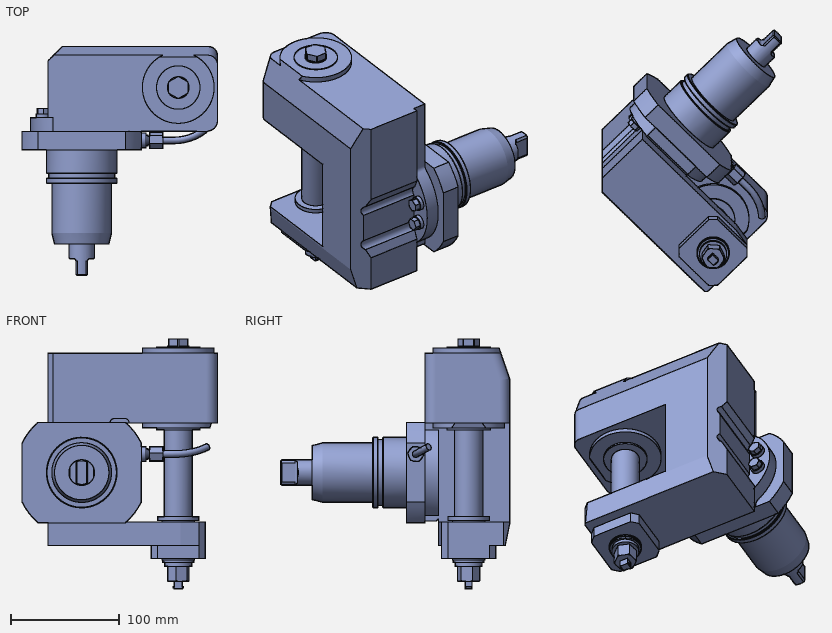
import cadquery as cq
import math


FLANGE_WIDTH = 110.0
FLANGE_HEIGHT = 92.5
FLANGE_CORNER_DIA = 122.5
FLANGE_BACK_Y = 17.0

SHANK_DIA = 65.0
SHANK_GROOVE_DIA = 61.0
SHANK_FRONT_DIA = 55.0
SHANK_NOSE_DIA = 50.0
GROOVE_START_Y = -21.8
GROOVE_END_Y = -25.9
COLLAR_END_Y = -30.9
SHANK_EDGE_CHAMFER = 0.6
NOSE_CONE_START_Y = -76.9
SHANK_END_Y = -86.7
DRIVE_DIA = 23.7
TANG_START_Y = -100.2
TANG_END_Y = -115.5
TANG_THICKNESS = 10.8
TANG_ROOT_FILLET = 2.0
TANG_FLAT_HALF_HEIGHT = 8.9
TANG_BEVEL_HALF_THICKNESS = 4.0
TANG_BEVEL_HALF_HEIGHT = 11.15
DRIVE_CHAMFER = 1.0

BODY_LEFT_X = -31.1
BODY_RIGHT_X = 125.0
BODY_BACK_Y = 95.1
BODY_TOP_Z = 109.8
UPPER_ARM_BOTTOM_Z = 45.4
LOWER_ARM_TOP_Z = -UPPER_ARM_BOTTOM_Z
LOWER_ARM_BOTTOM_Z = -67.1
COLUMN_HALF_WIDTH = 26.2
FRONT_CORNER_RADIUS = 10.0
BACK_CORNER_RADIUS = 8.8
BACK_CHAMFER = 13.4
PLATE_BACK_Y = 29.5
PLATE_BOTTOM_Z = -44.6
PLATE_BOTTOM_CHAMFER = 1.9
TOP_SLOPE_START_Z = 86.2
TOP_SLOPE_END_Y = 87.0
BOTTOM_SLOPE_START_Z = -47.4
BOTTOM_SLOPE_END_Y = 91.0

GROOVE_OUTER_Z = 32.2
GROOVE_MOUTH_X = -27.4
GROOVE_MOUTH_Z = 23.8
GROOVE_BOTTOM_X = -24.4
GROOVE_BOTTOM_Z = 18.0
GROOVE_INNER_Z = 14.0

RELIEF_WIDTH = 17.3
RELIEF_TOP_Z = 49.6
RELIEF_RADIUS = 3.5

SWIVEL_RADIUS = 47.2
SWIVEL_FILLET = 5.1
BOLT_X = -35.3
BOLT_Z = 10.5
BOLT_COLLAR_DIA = 13.0
BOLT_COLLAR_END_Y = 33.0
BOLT_HEAD_ACROSS_FLATS = 10.0
BOLT_HEAD_END_Y = 38.0
BOLT_HEAD_TURNS = {BOLT_Z: 90.0, -BOLT_Z: 60.0}

SPINDLE_X = 88.8
SPINDLE_Y = 57.3
SPINDLE_DIA = 26.0
DISC_DIA = 66.0
COVER_DIA = 40.0
COVER_TOP_Z = 115.4
TOP_DISC_TOP_Z = 114.7
TOP_BOLT_DIA = 20.0
TOP_BOLT_COLLAR_Z = 116.5
TOP_BOLT_ACROSS_FLATS = 17.8
TOP_BOLT_TURN = 90.0
TOP_BOLT_TOP_Z = 122.9
LOWER_DISC_BOTTOM_Z = 41.1
LOWER_COVER_BOTTOM_Z = 39.2
LOWER_DISC_FLAT_TOP_X = 119.3
LOWER_DISC_FLAT_BOTTOM_X = 117.9
SPINDLE_COLLAR_DIA = 38.0
SPINDLE_COLLAR_TOP_Z = -40.5
SPINDLE_COLLAR_BOTTOM_Z = -44.3
SEAL_DIA = 30.0

CAP_SIZE = 50.0
CAP_CHAMFER = 5.8
CAP_BOTTOM_Z = -79.1
ARM_TAPER_START_X = 91.2
SEAL_STRAIGHT_BOTTOM_Z = -80.6
SEAL_BOTTOM_Z = -82.6
SEAL_END_DIA = 28.6
NUT_SPACER_DIA = 25.0
NUT_TOP_Z = -86.2
NUT_BOTTOM_Z = -100.1
NUT_CORNER_DIA = 20.9
NUT_TURN = 19.0
NUT_CHAMFER = 0.8
STUB_BOTTOM_Z = -107.0
STUB_LENGTH_X = 7.8
STUB_LENGTH_Y = 6.6
STUB_FOOT_DIA = 9.3
STUB_FOOT_TOP_Z = -105.0
STUB_FOOT_BOTTOM_Z = -106.0

FITTING_Y = 8.6
FITTING_Z = 17.0
FITTING_COLLAR_DIA = 13.8
FITTING_COLLAR_END_X = 59.3
FITTING_NECK_DIA = 9.8
FITTING_NECK_END_X = 60.9
FITTING_STEM_DIA = 8.15
FITTING_HEX_START_X = 62.4
FITTING_HEX_END_X = 74.6
FITTING_HEX_ACROSS_FLATS = 13.0
FITTING_HEX_TURN = 52.0
PIPE_DIA = 6.2
PIPE_BEND_START_X = 84.5
PIPE_BEND_RADIUS = 42.0
PIPE_BEND_ANGLE = 47.6
PIPE_TILT = 29.0


def box(x0, x1, y0, y1, z0, z1):
    """Axis-aligned box between two opposite corners."""
    return cq.Workplane("XY").box(x1 - x0, y1 - y0, z1 - z0, centered=False).translate((x0, y0, z0))


def spindle_cylinder(diameter, z0, z1):
    """Cylinder on the spindle axis."""
    return cq.Workplane("XY", origin=(SPINDLE_X, SPINDLE_Y, z0)).circle(diameter / 2).extrude(z1 - z0)


def spindle_hex(corner_dia, turn, z0, z1):
    """Hexagonal prism on the spindle axis with its first corner turned from +X."""
    prism = cq.Workplane("XY").polygon(6, corner_dia).extrude(z1 - z0)
    return prism.rotate((0, 0, 0), (0, 0, 1), turn).translate((SPINDLE_X, SPINDLE_Y, z0))


def corner_diameter(across_flats):
    """Diameter through the corners of a hexagon."""
    return across_flats / math.cos(math.pi / 6)


def extrude_y(sketch, y0, y1):
    """Extrude an outline drawn on the XZ plane from y0 to y1."""
    return sketch.extrude(-(y1 - y0)).translate((0, y0, 0))


def make_flange():
    block = box(
        -FLANGE_WIDTH / 2, FLANGE_WIDTH / 2, 0, FLANGE_BACK_Y, -FLANGE_HEIGHT / 2, FLANGE_HEIGHT / 2
    )
    rounding = extrude_y(cq.Workplane("XZ").circle(FLANGE_CORNER_DIA / 2), 0, FLANGE_BACK_Y)
    return block.intersect(rounding)


def make_shank():
    full = SHANK_DIA / 2
    groove = SHANK_GROOVE_DIA / 2
    edge = SHANK_EDGE_CHAMFER
    profile = [
        (0, 0),
        (full, 0),
        (full, GROOVE_START_Y + edge),
        (full - edge, GROOVE_START_Y),
        (groove, GROOVE_START_Y),
        (groove, GROOVE_END_Y),
        (full - edge, GROOVE_END_Y),
        (full, GROOVE_END_Y - edge),
        (full, COLLAR_END_Y + edge),
        (full - edge, COLLAR_END_Y),
        (SHANK_FRONT_DIA / 2, COLLAR_END_Y),
        (SHANK_FRONT_DIA / 2, NOSE_CONE_START_Y),
        (SHANK_NOSE_DIA / 2, SHANK_END_Y),
        (0, SHANK_END_Y),
    ]
    return cq.Workplane("XY").polyline(profile).close().revolve(360, (0, 0, 0), (0, 1, 0))


def make_drive_tang():
    radius = DRIVE_DIA / 2
    half = TANG_THICKNESS / 2
    shaft = extrude_y(cq.Workplane("XZ").circle(radius), TANG_END_Y, SHANK_END_Y)
    shaft = shaft.faces("<Y").chamfer(DRIVE_CHAMFER)
    outline = (
        cq.Workplane("XY")
        .moveTo(-radius, SHANK_END_Y)
        .lineTo(-radius, TANG_START_Y + DRIVE_CHAMFER)
        .lineTo(-radius + DRIVE_CHAMFER, TANG_START_Y)
        .lineTo(-half - TANG_ROOT_FILLET, TANG_START_Y)
        .radiusArc((-half, TANG_START_Y - TANG_ROOT_FILLET), TANG_ROOT_FILLET)
        .lineTo(-half, TANG_END_Y + DRIVE_CHAMFER)
        .lineTo(-half + DRIVE_CHAMFER, TANG_END_Y)
        .lineTo(0, TANG_END_Y)
        .lineTo(0, SHANK_END_Y)
        .close()
        .extrude(radius, both=True)
    )
    tang = shaft.intersect(outline.union(outline.mirror("YZ")))
    for turn in (0, 180):
        for side in (1, -1):
            tang = tang.cut(tang_bevel_cutter(side).rotate((0, 0, 0), (0, 1, 0), turn))
    return tang


def tang_bevel_cutter(side):
    """Wedge bevelling one long edge of the tang at +Z; side is +1 or -1 along X."""
    half = side * TANG_THICKNESS / 2
    wedge = [
        (half, TANG_FLAT_HALF_HEIGHT),
        (side * TANG_BEVEL_HALF_THICKNESS, TANG_BEVEL_HALF_HEIGHT),
        (half, DRIVE_DIA / 2),
    ]
    sketch = cq.Workplane("XZ").polyline(wedge).close()
    return extrude_y(sketch, TANG_END_Y, TANG_START_Y - TANG_ROOT_FILLET)


def make_front_plate():
    """Plate behind the flange, with the upper arm's front part and the swivel disc."""
    upper = box(
        -COLUMN_HALF_WIDTH, BODY_RIGHT_X, FLANGE_BACK_Y, PLATE_BACK_Y, UPPER_ARM_BOTTOM_Z, BODY_TOP_Z
    )
    column = box(
        -COLUMN_HALF_WIDTH,
        COLUMN_HALF_WIDTH,
        FLANGE_BACK_Y,
        PLATE_BACK_Y,
        PLATE_BOTTOM_Z,
        UPPER_ARM_BOTTOM_Z,
    )
    column = column.edges("<Z and >Y").chamfer(PLATE_BOTTOM_CHAMFER)
    disc = extrude_y(cq.Workplane("XZ").circle(SWIVEL_RADIUS), FLANGE_BACK_Y, PLATE_BACK_Y)
    disc = disc.intersect(
        box(
            -SWIVEL_RADIUS,
            SWIVEL_RADIUS,
            FLANGE_BACK_Y,
            PLATE_BACK_Y,
            PLATE_BOTTOM_Z + PLATE_BOTTOM_CHAMFER,
            UPPER_ARM_BOTTOM_Z,
        )
    )
    return upper.union(column).union(disc).union(swivel_fillet(1)).union(swivel_fillet(-1))


def swivel_fillet(side):
    """Concave fillet joining the left plate edge to the swivel disc; side is +1 above, -1 below."""
    center_x = -COLUMN_HALF_WIDTH - SWIVEL_FILLET
    reach = SWIVEL_RADIUS + SWIVEL_FILLET
    center_z = math.sqrt(reach**2 - center_x**2)
    on_disc = (center_x * SWIVEL_RADIUS / reach, side * center_z * SWIVEL_RADIUS / reach)
    on_plate = (-COLUMN_HALF_WIDTH, side * center_z)
    inside = (-COLUMN_HALF_WIDTH, on_disc[1])
    sketch = (
        cq.Workplane("XZ")
        .moveTo(*inside)
        .lineTo(*on_disc)
        .radiusArc(on_plate, -side * SWIVEL_FILLET)
        .close()
    )
    return extrude_y(sketch, FLANGE_BACK_Y, PLATE_BACK_Y)


def make_lower_arm():
    cap_right = SPINDLE_X + CAP_SIZE / 2
    cap_front = SPINDLE_Y - CAP_SIZE / 2
    outline = [
        (BODY_LEFT_X, PLATE_BACK_Y),
        (ARM_TAPER_START_X, PLATE_BACK_Y),
        (cap_right - CAP_CHAMFER, cap_front),
        (cap_right, cap_front + CAP_CHAMFER),
        (cap_right, BODY_BACK_Y - CAP_CHAMFER),
        (cap_right - CAP_CHAMFER, BODY_BACK_Y),
        (BODY_LEFT_X, BODY_BACK_Y),
    ]
    arm = cq.Workplane("XY").polyline(outline).close()
    return arm.extrude(LOWER_ARM_TOP_Z - LOWER_ARM_BOTTOM_Z).translate((0, 0, LOWER_ARM_BOTTOM_Z))


def side_groove_cutter():
    """Recess in the left column face: a shallow flat between two round-bottomed grooves."""
    sketch = (
        cq.Workplane("XZ")
        .moveTo(BODY_LEFT_X, GROOVE_OUTER_Z)
        .lineTo(GROOVE_MOUTH_X, GROOVE_MOUTH_Z)
        .threePointArc((GROOVE_BOTTOM_X, GROOVE_BOTTOM_Z), (-COLUMN_HALF_WIDTH, GROOVE_INNER_Z))
        .lineTo(-COLUMN_HALF_WIDTH, -GROOVE_INNER_Z)
        .threePointArc((GROOVE_BOTTOM_X, -GROOVE_BOTTOM_Z), (GROOVE_MOUTH_X, -GROOVE_MOUTH_Z))
        .lineTo(BODY_LEFT_X, -GROOVE_OUTER_Z)
        .close()
    )
    return extrude_y(sketch, PLATE_BACK_Y, BODY_BACK_Y)


def relief_cutter():
    """Round-cornered relief in the plate part of the upper arm, beside the column."""
    relief = box(
        COLUMN_HALF_WIDTH,
        COLUMN_HALF_WIDTH + RELIEF_WIDTH,
        FLANGE_BACK_Y,
        PLATE_BACK_Y,
        UPPER_ARM_BOTTOM_Z,
        RELIEF_TOP_Z,
    )
    return relief.edges("|Y and >Z").fillet(RELIEF_RADIUS)


def back_slope_cutter():
    """Wedge behind the sloped upper back face, extended above the top disc."""
    slope = (BODY_BACK_Y - TOP_SLOPE_END_Y) / (BODY_TOP_Z - TOP_SLOPE_START_Z)
    disc_y = BODY_BACK_Y - slope * (TOP_DISC_TOP_Z - TOP_SLOPE_START_Z)
    wedge = [
        (BODY_BACK_Y, TOP_SLOPE_START_Z),
        (disc_y, TOP_DISC_TOP_Z),
        (BODY_BACK_Y, TOP_DISC_TOP_Z),
    ]
    cutter = cq.Workplane("YZ").polyline(wedge).close().extrude(BODY_RIGHT_X - BODY_LEFT_X)
    return cutter.translate((BODY_LEFT_X, 0, 0))


def bottom_slope_cutter():
    """Wedge behind the sloped back face of the lower arm."""
    wedge = [
        (BODY_BACK_Y, BOTTOM_SLOPE_START_Z),
        (BOTTOM_SLOPE_END_Y, LOWER_ARM_BOTTOM_Z),
        (BODY_BACK_Y, LOWER_ARM_BOTTOM_Z),
    ]
    cutter = cq.Workplane("YZ").polyline(wedge).close().extrude(BODY_RIGHT_X - BODY_LEFT_X)
    return cutter.translate((BODY_LEFT_X, 0, 0))


def back_chamfer_cutter():
    """Vertical corner chamfer at the left back edge of the whole housing."""
    corner = [
        (BODY_LEFT_X, BODY_BACK_Y),
        (BODY_LEFT_X + BACK_CHAMFER, BODY_BACK_Y),
        (BODY_LEFT_X, BODY_BACK_Y - BACK_CHAMFER),
    ]
    cutter = cq.Workplane("XY").polyline(corner).close().extrude(BODY_TOP_Z - LOWER_ARM_BOTTOM_Z)
    return cutter.translate((0, 0, LOWER_ARM_BOTTOM_Z))


def make_housing():
    """C-shaped housing: upper arm, column and lower arm, with the disc on top."""
    upper = box(
        BODY_LEFT_X, BODY_RIGHT_X, PLATE_BACK_Y, BODY_BACK_Y, UPPER_ARM_BOTTOM_Z, BODY_TOP_Z
    )
    column = box(
        BODY_LEFT_X, COLUMN_HALF_WIDTH, PLATE_BACK_Y, BODY_BACK_Y, LOWER_ARM_TOP_Z, UPPER_ARM_BOTTOM_Z
    )
    housing = upper.union(make_front_plate()).cut(back_slope_cutter())
    housing = housing.edges("|Z and >X and <Y").fillet(FRONT_CORNER_RADIUS)
    housing = housing.faces(">X").edges("(not |Y) and (not <Y)").fillet(BACK_CORNER_RADIUS)
    housing = housing.union(column).union(make_lower_arm())
    housing = housing.union(spindle_cylinder(DISC_DIA, BODY_TOP_Z, TOP_DISC_TOP_Z))
    cutters = [
        side_groove_cutter(),
        relief_cutter(),
        back_slope_cutter(),
        bottom_slope_cutter(),
        back_chamfer_cutter(),
    ]
    for cutter in cutters:
        housing = housing.cut(cutter)
    return housing


def make_swivel_bolt(z, turn):
    """Hexagon-headed bolt standing on the back of the swivel disc."""
    collar = extrude_y(cq.Workplane("XZ").circle(BOLT_COLLAR_DIA / 2), PLATE_BACK_Y, BOLT_COLLAR_END_Y)
    hexagon = cq.Workplane("XZ").polygon(6, corner_diameter(BOLT_HEAD_ACROSS_FLATS))
    head = extrude_y(hexagon, BOLT_COLLAR_END_Y, BOLT_HEAD_END_Y)
    head = head.rotate((0, 0, 0), (0, 1, 0), turn)
    return collar.union(head).translate((BOLT_X, 0, z))


def make_top_bolt():
    cover = spindle_cylinder(COVER_DIA, TOP_DISC_TOP_Z, COVER_TOP_Z)
    rounding = spindle_cylinder(TOP_BOLT_DIA, TOP_BOLT_COLLAR_Z, TOP_BOLT_TOP_Z)
    head = spindle_hex(
        corner_diameter(TOP_BOLT_ACROSS_FLATS), TOP_BOLT_TURN, TOP_BOLT_COLLAR_Z, TOP_BOLT_TOP_Z
    )
    collar = spindle_cylinder(TOP_BOLT_DIA, COVER_TOP_Z, TOP_BOLT_COLLAR_Z)
    return cover.union(collar).union(head.intersect(rounding))


def make_lower_disc():
    """Disc under the upper arm with a slanted flat on its +X side."""
    disc = spindle_cylinder(DISC_DIA, LOWER_DISC_BOTTOM_Z, UPPER_ARM_BOTTOM_Z)
    left = SPINDLE_X - DISC_DIA / 2
    keep = [
        (left, LOWER_DISC_BOTTOM_Z),
        (LOWER_DISC_FLAT_BOTTOM_X, LOWER_DISC_BOTTOM_Z),
        (LOWER_DISC_FLAT_TOP_X, UPPER_ARM_BOTTOM_Z),
        (left, UPPER_ARM_BOTTOM_Z),
    ]
    half = DISC_DIA / 2
    sketch = cq.Workplane("XZ").polyline(keep).close()
    return disc.intersect(extrude_y(sketch, SPINDLE_Y - half, SPINDLE_Y + half))


def make_spindle():
    spindle = spindle_cylinder(SPINDLE_DIA, LOWER_ARM_TOP_Z, UPPER_ARM_BOTTOM_Z)
    spindle = spindle.union(make_lower_disc())
    spindle = spindle.union(spindle_cylinder(COVER_DIA, LOWER_COVER_BOTTOM_Z, LOWER_DISC_BOTTOM_Z))
    collar = spindle_cylinder(SPINDLE_COLLAR_DIA, SPINDLE_COLLAR_BOTTOM_Z, SPINDLE_COLLAR_TOP_Z)
    seal = spindle_cylinder(SEAL_DIA, LOWER_ARM_TOP_Z, SPINDLE_COLLAR_BOTTOM_Z)
    return spindle.union(collar).union(seal)


def make_bearing_cap():
    half = CAP_SIZE / 2
    cap = box(
        SPINDLE_X - half,
        SPINDLE_X + half,
        SPINDLE_Y - half,
        SPINDLE_Y + half,
        CAP_BOTTOM_Z,
        LOWER_ARM_BOTTOM_Z,
    )
    cap = cap.edges("|Z").chamfer(CAP_CHAMFER)
    cap = cap.union(spindle_cylinder(SEAL_DIA, SEAL_STRAIGHT_BOTTOM_Z, CAP_BOTTOM_Z))
    return cap.union(spindle_cylinder(SEAL_END_DIA, SEAL_BOTTOM_Z, SEAL_STRAIGHT_BOTTOM_Z))


def make_nut():
    spacer = spindle_cylinder(NUT_SPACER_DIA, NUT_TOP_Z, SEAL_BOTTOM_Z)
    nut = spindle_hex(NUT_CORNER_DIA, NUT_TURN, NUT_BOTTOM_Z, NUT_TOP_Z)
    blank = spindle_cylinder(NUT_CORNER_DIA, NUT_BOTTOM_Z, NUT_TOP_Z).faces("<Z").chamfer(NUT_CHAMFER)
    return spacer.union(nut.intersect(blank))


def make_stub():
    """Rectangular stub under the nut with a slightly wider foot near its end."""
    half_x = STUB_LENGTH_X / 2
    half_y = STUB_LENGTH_Y / 2
    center = (SPINDLE_X, SPINDLE_Y, 0)
    stub = box(-half_x, half_x, -half_y, half_y, STUB_BOTTOM_Z, NUT_BOTTOM_Z).translate(center)
    slab_half = STUB_FOOT_DIA / 2
    slab = box(-slab_half, slab_half, -half_y, half_y, STUB_FOOT_BOTTOM_Z, STUB_FOOT_TOP_Z)
    foot = spindle_cylinder(STUB_FOOT_DIA, STUB_FOOT_BOTTOM_Z, STUB_FOOT_TOP_Z)
    return stub.union(foot.intersect(slab.translate(center)))


def fitting_cylinder(diameter, x0, x1):
    """Cylinder on the coolant fitting axis, parallel to X."""
    return cq.Workplane("YZ", origin=(x0, FITTING_Y, FITTING_Z)).circle(diameter / 2).extrude(x1 - x0)


def make_fitting():
    side_x = FLANGE_WIDTH / 2
    collar = fitting_cylinder(FITTING_COLLAR_DIA, side_x, FITTING_COLLAR_END_X)
    neck = fitting_cylinder(FITTING_NECK_DIA, FITTING_COLLAR_END_X, FITTING_NECK_END_X)
    stem = fitting_cylinder(FITTING_STEM_DIA, FITTING_NECK_END_X, FITTING_HEX_START_X)
    nut = cq.Workplane("YZ").polygon(6, corner_diameter(FITTING_HEX_ACROSS_FLATS))
    nut = nut.extrude(FITTING_HEX_END_X - FITTING_HEX_START_X)
    nut = nut.rotate((0, 0, 0), (1, 0, 0), FITTING_HEX_TURN)
    nut = nut.translate((FITTING_HEX_START_X, FITTING_Y, FITTING_Z))
    return collar.union(neck).union(stem).union(nut)


def make_pipe():
    """Coolant pipe: a straight length, then a bend toward +Y and +Z."""
    straight = fitting_cylinder(PIPE_DIA, FITTING_HEX_END_X, PIPE_BEND_START_X)
    bend = (
        cq.Workplane("YZ")
        .circle(PIPE_DIA / 2)
        .revolve(PIPE_BEND_ANGLE, (PIPE_BEND_RADIUS, 0, 0), (PIPE_BEND_RADIUS, 1, 0))
        .rotate((0, 0, 0), (1, 0, 0), PIPE_TILT)
        .translate((PIPE_BEND_START_X, FITTING_Y, FITTING_Z))
    )
    return straight.union(bend)


result = make_flange()
parts = [
    make_shank(),
    make_drive_tang(),
    make_housing(),
    make_top_bolt(),
    make_spindle(),
    make_bearing_cap(),
    make_nut(),
    make_stub(),
    make_fitting(),
    make_pipe(),
]
parts += [make_swivel_bolt(z, turn) for z, turn in BOLT_HEAD_TURNS.items()]
for part in parts:
    result = result.union(part)